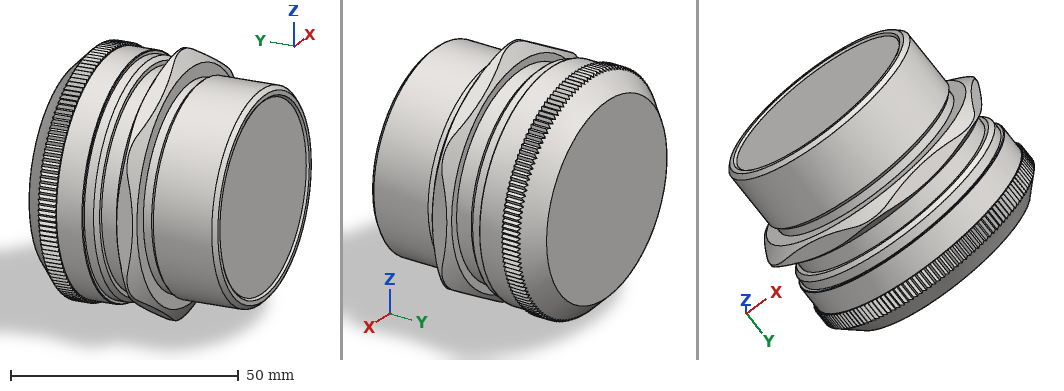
import cadquery as cq
import math


shank_end_y = 16.0
hex_front_y = 18.0
hex_width = 5.0
collar_front_y = 27.5
ring_front_y = 30.8
knurl_front_y = 37.1
back_y = 45.8

shank_dia = 50.0
relief_dia = 48.4
neck_dia = 51.0
collar_dia = 55.0
ring_dia = 56.7
knurl_root_dia = 56.75
knurl_tip_dia = 58.0
back_face_dia = 48.4

shank_front_chamfer = 1.0
shank_back_chamfer = (shank_dia - relief_dia) / 2
collar_chamfer = 1.0
ring_chamfer = 0.2

hex_sides = 6
hex_across_flats = 57.0
hex_corner_radius = 10.05
hex_face_dia = 55.0
hex_chamfer_angle = 30.0

tooth_count = 144

recess_mouth_dia = 45.85
recess_floor_dia = 44.8
recess_depth = (recess_mouth_dia - recess_floor_dia) / 2

hex_back_y = hex_front_y + hex_width


def turned(y_front, y_back, dia_front, dia_back):
    """Solid cylinder or cone on the Y axis between two positions."""
    profile = [(0, y_front), (dia_front / 2, y_front), (dia_back / 2, y_back), (0, y_back)]
    return cq.Workplane("XY").polyline(profile).close().revolve(360, (0, 0, 0), (0, 1, 0))


def section_plane(y):
    """Workplane across the axis at y, with its normal along +Y."""
    return cq.Workplane(cq.Plane(origin=(0, y, 0), xDir=(0, 0, 1), normal=(0, 1, 0)))


def chamfered_cylinder(y_front, y_back, dia, front_chamfer):
    """Cylinder on the Y axis with its front edge chamfered."""
    return turned(y_front, y_back, dia, dia).faces("<Y").chamfer(front_chamfer)


def shank():
    body = chamfered_cylinder(0, shank_end_y, shank_dia, shank_front_chamfer)
    body = body.faces(">Y").chamfer(shank_back_chamfer)
    return body.cut(turned(0, recess_depth, recess_mouth_dia, recess_floor_dia))


def hexagon():
    """Hexagon with corners on Z, rounded, and coned down on both faces."""
    corner_dia = hex_across_flats / math.cos(math.pi / hex_sides)
    prism = section_plane(hex_front_y).polygon(hex_sides, corner_dia).extrude(hex_width)
    prism = prism.edges("|Y").fillet(hex_corner_radius)
    half_width = hex_width / 2
    middle_y = hex_front_y + half_width
    middle_dia = hex_face_dia + 2 * half_width / math.tan(math.radians(hex_chamfer_angle))
    envelope = turned(hex_front_y, middle_y, hex_face_dia, middle_dia)
    envelope = envelope.union(turned(middle_y, hex_back_y, middle_dia, hex_face_dia))
    return prism.intersect(envelope)


def knurled_cap():
    """V-toothed rim cut back by a 45 degree cone to the rear face."""
    cap_length = back_y - knurl_front_y
    half_pitch = math.pi / tooth_count
    outline = []
    for index in range(2 * tooth_count):
        radius = knurl_root_dia / 2 if index % 2 == 0 else knurl_tip_dia / 2
        angle = index * half_pitch
        outline.append((radius * math.cos(angle), radius * math.sin(angle)))
    rim = section_plane(knurl_front_y).polyline(outline).close().extrude(cap_length)
    cone = turned(knurl_front_y, back_y, back_face_dia + 2 * cap_length, back_face_dia)
    return rim.intersect(cone)


relief = turned(shank_end_y, hex_front_y, relief_dia, relief_dia)
neck = turned(hex_back_y, collar_front_y, neck_dia, neck_dia)
collar = chamfered_cylinder(collar_front_y, ring_front_y, collar_dia, collar_chamfer)
ring = chamfered_cylinder(ring_front_y, knurl_front_y, ring_dia, ring_chamfer)

result = shank()
for section in (relief, hexagon(), neck, collar, ring, knurled_cap()):
    result = result.union(section)